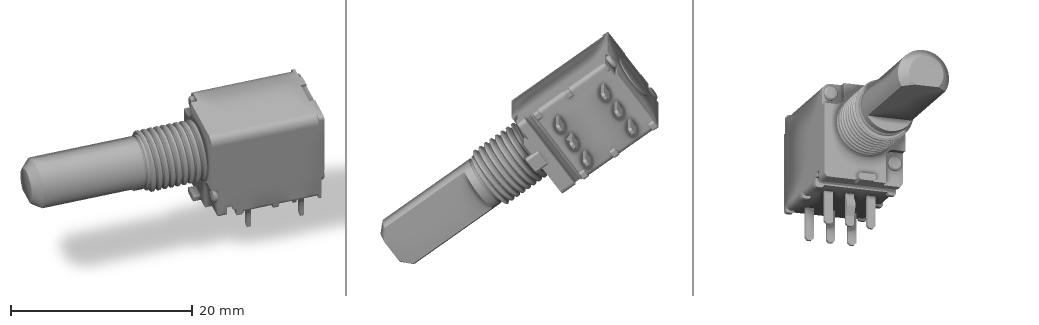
import cadquery as cq
import math


body_width = 9.5
body_top = 4.83
body_bottom = -6.25
body_back = 13.15
top_radius = 1.0
bottom_radius = 0.53
back_plate_thickness = 0.65
back_plate_radius = 0.43
half_width = body_width / 2
back_plate_front = body_back - back_plate_thickness

back_notch_width = 3.0
back_notch_depth = 0.25

slot_front = 1.8
slot_step = 2.5
slot_back = 2.95
slot_top = -5.03
slot_step_top = -5.53

rivet_x = 3.75
rivet_z = 3.65
rivet_radius = 0.8
rivet_chamfer = 0.15
front_recess_depth = 0.8
front_recess_inner_x = 2.45
front_recess_inner_z = 2.3
front_recess_radius = 1.0
front_rivet_height = 0.43
back_recess_depth = 0.33
back_recess_inner_x = 2.85
back_recess_inner_z = 2.7
boss_height = 0.13
boss_back = body_back + boss_height
back_boss_radius = 2.53

foot_width = 1.0
foot_bottom = -6.55
foot_length = 0.63
foot_radius = 0.3
foot_starts = [slot_back, 7.2, body_back - foot_length]

recess_reach = -foot_bottom

tab_width = 1.95
tab_top = -5.65
tab_bottom = -6.45
tab_front = -0.83
tab_top_radius = 0.2
tab_chamfer = 0.23

pin_width = 0.95
pin_thickness = 0.35
pin_pitch = 2.5
pin_tip = -10.02
pin_tip_chamfer = 0.25
front_row = 4.8
back_row = 11.0
bump_height = 0.4
bump_top = -6.75
bump_crest_top = -7.4
bump_crest_bottom = -7.8
bump_bottom = -8.9

thread_radius = 3.5
bushing_radius = 3.1
bushing_chamfer = 0.1
bushing_end = -6.83
thread_start = 0.4
thread_end = -6.55
crest_count = 9
crest_span = 6.0
thread_pitch = crest_span / (crest_count - 1)
thread_crest_y = -0.33
thread_crest_width = 0.15
thread_base_width = 0.7
thread_overlap = 0.05

shaft_radius = 3.0
shaft_end = -20.0
shaft_start = -7.13
shaft_chamfer = 1.0
neck_radius = 2.85
flat_start = -8.05
flat_z = -1.5


def box(x_min, x_max, y_min, y_max, z_min, z_max):
    """Rectangular block between the given limits."""
    size = (x_max - x_min, y_max - y_min, z_max - z_min)
    return cq.Workplane("XY").box(*size, centered=False).translate((x_min, y_min, z_min))


def cylinder(radius, y_front, y_back, x=0, z=0):
    """Round bar along Y."""
    return cq.Workplane("XZ", origin=(x, y_back, z)).circle(radius).extrude(y_back - y_front)


def half_turn(shape):
    """Copy of a shape turned by 180 degrees about the shaft axis."""
    return shape.rotate((0, 0, 0), (0, 1, 0), 180)


def make_housing():
    shell = box(-half_width, half_width, 0, back_plate_front, body_bottom, body_top)
    shell = shell.edges("|Y and >Z").fillet(top_radius)
    shell = shell.edges("|Y and <Z").fillet(bottom_radius)
    plate = box(-half_width, half_width, back_plate_front, body_back, body_bottom, body_top)
    plate = plate.edges("|Y and >Z").fillet(back_plate_radius)
    plate = plate.cut(box(-back_notch_width / 2, back_notch_width / 2, back_plate_front, body_back,
                          body_top - back_notch_depth, body_top))
    return shell.union(plate)


def add_feet(body):
    for side in (-1, 1):
        for start in foot_starts:
            inner = side * (half_width - foot_width)
            outer = side * half_width
            foot = box(min(inner, outer), max(inner, outer), start, start + foot_length,
                       foot_bottom, body_bottom + bottom_radius)
            body = body.union(foot.edges("|Y and <Z").fillet(foot_radius))
    return body


def cut_slot(body):
    body = body.cut(box(-half_width, half_width, slot_front, slot_step, foot_bottom, slot_top))
    return body.cut(box(-half_width, half_width, slot_step, slot_back, foot_bottom, slot_step_top))


def add_rivets(body):
    """Recess two opposite corners at each end and set a rivet in each, then add the round back boss."""
    front_recess = box(-half_width, -front_recess_inner_x, 0, front_recess_depth,
                       front_recess_inner_z, recess_reach)
    front_recess = front_recess.edges("|Y and >X and <Z").fillet(front_recess_radius)
    front_rivet = cylinder(rivet_radius, front_recess_depth - front_rivet_height, front_recess_depth,
                           -rivet_x, rivet_z)
    front_rivet = front_rivet.faces("<Y").chamfer(rivet_chamfer)

    back_recess = box(-half_width, -back_recess_inner_x, body_back - back_recess_depth, body_back,
                      back_recess_inner_z, recess_reach)
    back_rivet = cylinder(rivet_radius, body_back - back_recess_depth, boss_back, -rivet_x, rivet_z)
    back_rivet = back_rivet.faces(">Y").chamfer(rivet_chamfer)

    for recess in (front_recess, back_recess):
        body = body.cut(recess).cut(half_turn(recess))
    for rivet in (front_rivet, back_rivet):
        body = body.union(rivet).union(half_turn(rivet))
    return body.union(cylinder(back_boss_radius, body_back, boss_back))


def make_tab():
    tab = box(-tab_width / 2, tab_width / 2, tab_front, front_recess_depth, tab_bottom, tab_top)
    tab = tab.edges("|Y and >Z").fillet(tab_top_radius)
    return tab.edges("|Y and <Z").chamfer(tab_chamfer)


def make_pin(x, y):
    pin = box(x - pin_width / 2, x + pin_width / 2, y, y + pin_thickness, pin_tip, body_bottom)
    return pin.edges("|Y and <Z").chamfer(pin_tip_chamfer)


def make_bump():
    """Retaining kink on the front of the middle front pin."""
    profile = [
        (front_row, bump_top),
        (front_row - bump_height, bump_crest_top),
        (front_row - bump_height, bump_crest_bottom),
        (front_row, bump_bottom),
    ]
    return cq.Workplane("YZ").polyline(profile).close().extrude(pin_width / 2, both=True)


def make_bushing():
    core = cylinder(bushing_radius, bushing_end, 0).faces("<Y").chamfer(bushing_chamfer)
    turns = math.ceil((thread_start - thread_end) / thread_pitch) + 1
    helix = cq.Wire.makeHelix(thread_pitch, turns * thread_pitch, bushing_radius)
    base_radius = bushing_radius - thread_overlap
    ridge = (
        cq.Workplane("XZ")
        .polyline([
            (base_radius, -thread_base_width / 2),
            (thread_radius, -thread_crest_width / 2),
            (thread_radius, thread_crest_width / 2),
            (base_radius, thread_base_width / 2),
        ])
        .close()
        .sweep(cq.Workplane(obj=helix), isFrenet=True)
    )
    ridge = ridge.rotate((0, 0, 0), (1, 0, 0), 90)
    ridge = ridge.rotate((0, 0, 0), (0, 1, 0), -90)
    ridge = ridge.translate((0, thread_crest_y + thread_pitch, 0))
    span = cylinder(2 * thread_radius, thread_end, thread_start)
    return core.union(ridge.intersect(span), clean=False)


def make_shaft():
    shaft = cylinder(shaft_radius, shaft_end, shaft_start).faces("<Y").chamfer(shaft_chamfer)
    shaft = shaft.cut(box(-shaft_radius, shaft_radius, shaft_end, flat_start, -shaft_radius, flat_z))
    return shaft.union(cylinder(neck_radius, shaft_start, bushing_end))


body = add_rivets(cut_slot(add_feet(make_housing())))
body = body.union(make_tab())
for row in (front_row, back_row):
    for column in (-1, 0, 1):
        body = body.union(make_pin(column * pin_pitch, row))
body = body.union(make_bump())
result = body.union(make_shaft()).union(make_bushing(), clean=False)